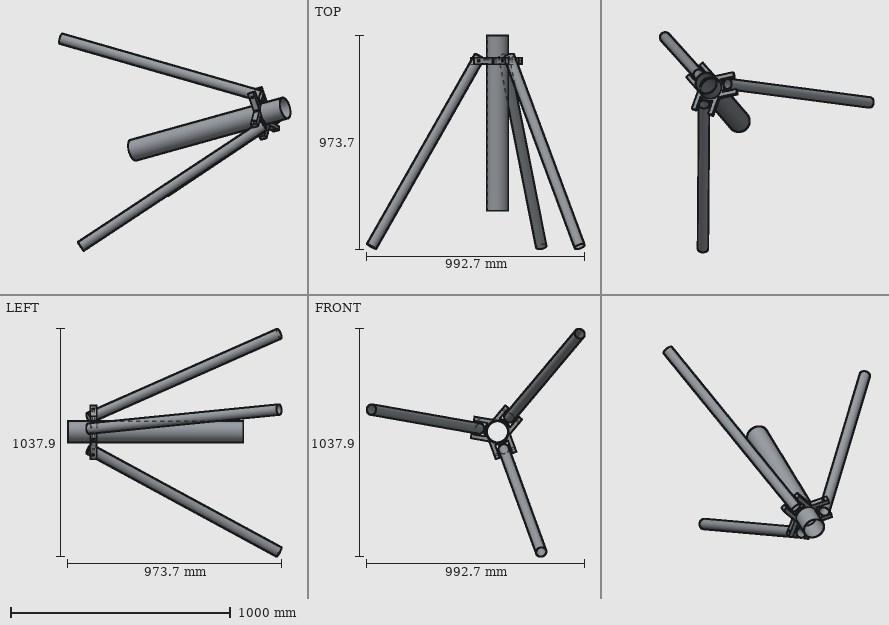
import cadquery as cq
import math


MAST_OD = 100.0
MAST_ID = 95.0
MAST_LENGTH = 800.0
MAST_TOP_Y = 116.0

HUB_BORE = 102.0
HUB_OD = 120.0
HUB_DEPTH = 29.0
FORK_WIDTH = 101.0
FORK_GAP = 60.0
FORK_REACH = 115.0
PIVOT_HOLE = 8.2
PIVOT_TIP_DISTANCE = 21.0
PIVOT_RADIUS = FORK_REACH - PIVOT_TIP_DISTANCE

LEG_OD = 50.0
LEG_ID = 46.0
LEG_LENGTH = 1000.0
LEG_OVERHANG = 24.0
LEG_SPREAD = 30.0

FIRST_LEG_ANGLE = 50.0
LEG_COUNT = 3
LEG_ANGLES = [FIRST_LEG_ANGLE + i * 360.0 / LEG_COUNT for i in range(LEG_COUNT)]


def turn_about_mast(shape, angle):
    """Turn a shape from the +X direction by an angle towards +Z."""
    return shape.rotate((0, 0, 0), (0, -1, 0), angle)


def make_mast():
    return (
        cq.Workplane("XZ", origin=(0, MAST_TOP_Y, 0))
        .circle(MAST_OD / 2)
        .circle(MAST_ID / 2)
        .extrude(MAST_LENGTH)
    )


def make_fork_blank():
    """Solid bar along +X, as wide as both prongs together."""
    return cq.Workplane("XY").box(
        FORK_REACH, HUB_DEPTH, FORK_WIDTH, centered=(False, True, True)
    )


def make_fork_slot():
    """Slot between the two prongs, which receives the leg."""
    return cq.Workplane("XY").box(
        FORK_REACH, HUB_DEPTH, FORK_GAP, centered=(False, True, True)
    )


def make_pivot_hole():
    """Cross hole through both prongs."""
    return (
        cq.Workplane("XY")
        .center(PIVOT_RADIUS, 0)
        .circle(PIVOT_HOLE / 2)
        .extrude(FORK_WIDTH / 2, both=True)
    )


def make_hub():
    ring = cq.Workplane("XZ").circle(HUB_OD / 2).extrude(HUB_DEPTH / 2, both=True)
    bore = cq.Workplane("XZ").circle(HUB_BORE / 2).extrude(HUB_DEPTH / 2, both=True)
    slot = make_fork_slot().cut(ring)
    hub = ring
    for angle in LEG_ANGLES:
        hub = hub.union(turn_about_mast(make_fork_blank(), angle))
    for angle in LEG_ANGLES:
        hub = hub.cut(turn_about_mast(slot, angle))
        hub = hub.cut(turn_about_mast(make_pivot_hole(), angle))
    return hub.cut(bore)


def make_leg(angle):
    """Open tube crossing the pivot, leaning outwards towards its foot."""
    outward = math.sin(math.radians(LEG_SPREAD))
    along_mast = math.cos(math.radians(LEG_SPREAD))
    upper_end = cq.Plane(
        origin=(
            PIVOT_RADIUS - LEG_OVERHANG * outward,
            LEG_OVERHANG * along_mast,
            0,
        ),
        xDir=(0, 0, 1),
        normal=(outward, -along_mast, 0),
    )
    leg = (
        cq.Workplane(upper_end)
        .circle(LEG_OD / 2)
        .circle(LEG_ID / 2)
        .extrude(LEG_LENGTH)
    )
    return turn_about_mast(leg, angle)


mast = make_mast()
hub = make_hub()
legs = [make_leg(angle) for angle in LEG_ANGLES]

result = cq.Compound.makeCompound([mast.val(), hub.val(), *[leg.val() for leg in legs]])